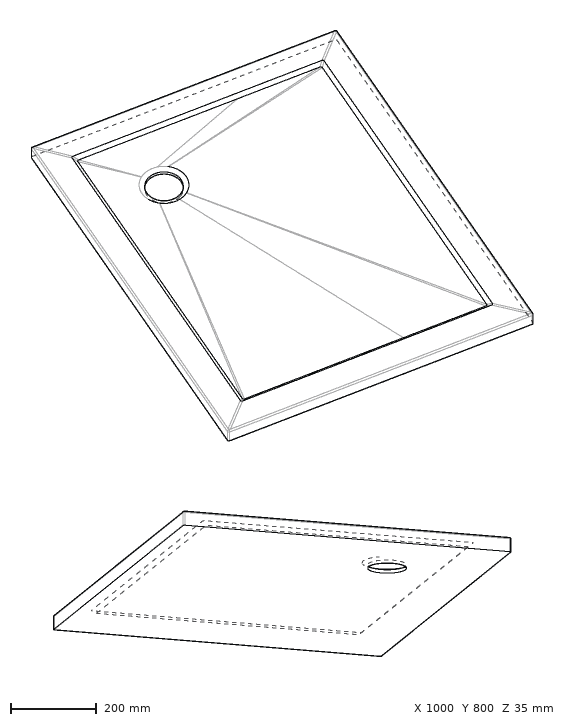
import cadquery as cq
import math

length = 1000.0
width = 800.0
height = 35.0
edge_radius = 4.0
corner_radius = 4.0

rim_width = 70.0
rim_drop = 1.0
step_width = 10.0
step_depth = 8.0
rim_inner_z = height - rim_drop
floor_edge_z = rim_inner_z - step_depth
floor_inset = rim_width + step_width

drain_x = 230.0
drain_y = 230.0
seat_radius = 58.0
hole_radius = 45.0
seat_top_z = 13.0
seat_bottom_z = 8.0

valley_seat_angle = math.radians(1)

panel_split_y = 500.0


def rounded_outline(inset, z):
    """Wire of an inset tray outline with small rounded corners."""
    outline = cq.Workplane("XY").rect(length - 2 * inset, width - 2 * inset).wires().val()
    rounded = outline.fillet2D(corner_radius, outline.Vertices())
    return rounded.translate(cq.Vector(length / 2, width / 2, z))


def sloped_recess(lower_inset, lower_z, upper_inset, upper_z):
    """Solid tapering between two rounded outlines at different heights."""
    wires = [rounded_outline(lower_inset, lower_z), rounded_outline(upper_inset, upper_z)]
    return cq.Solid.makeLoft(wires, True)


def seat_point(angle):
    return cq.Vector(
        drain_x + seat_radius * math.cos(angle),
        drain_y + seat_radius * math.sin(angle),
        seat_top_z,
    )


def seat_arc(start, end):
    return cq.Edge.makeThreePointArc(
        seat_point(start), seat_point((start + end) / 2), seat_point(end)
    )


def corner_arc(x, y, quadrant):
    """Rounded floor corner about (x, y), turning a quarter from quadrant * 90 degrees."""
    points = []
    for step in range(3):
        angle = (quadrant + step / 2) * math.pi / 2
        points.append(
            cq.Vector(
                x + corner_radius * math.cos(angle),
                y + corner_radius * math.sin(angle),
                floor_edge_z,
            )
        )
    return cq.Edge.makeThreePointArc(*points)


def floor_recess():
    """Recess whose ruled panels fall from the floor outline to the round drain seat."""
    near = floor_inset + corner_radius
    far_x = length - near
    far_y = width - near
    front_left = corner_arc(near, near, 2)
    front_right = corner_arc(far_x, near, 3)
    back_right = corner_arc(far_x, far_y, 0)
    back_left = corner_arc(near, far_y, 1)
    right_split = cq.Vector(length - floor_inset, panel_split_y, floor_edge_z)
    left_split = cq.Vector(floor_inset, panel_split_y, floor_edge_z)
    outline = [
        front_left,
        cq.Edge.makeLine(front_left.endPoint(), front_right.startPoint()),
        front_right,
        cq.Edge.makeLine(front_right.endPoint(), right_split),
        cq.Edge.makeLine(right_split, back_right.startPoint()),
        back_right,
        cq.Edge.makeLine(back_right.endPoint(), back_left.startPoint()),
        back_left,
        cq.Edge.makeLine(back_left.endPoint(), left_split),
        cq.Edge.makeLine(left_split, front_left.startPoint()),
    ]

    floor_width = width - 2 * floor_inset
    corner_angle = math.atan2(floor_width, length - 2 * floor_inset)
    split_fraction = (panel_split_y - floor_inset) / floor_width
    split_angle = corner_angle * (2 * split_fraction - 1)
    half_valley = valley_seat_angle / 2
    turn = 2 * math.pi
    angles = [
        math.pi + corner_angle - half_valley,
        math.pi + corner_angle + half_valley,
        turn - corner_angle - half_valley,
        turn - corner_angle + half_valley,
        turn + split_angle,
        turn + corner_angle - half_valley,
        turn + corner_angle + half_valley,
        turn + math.pi - corner_angle - half_valley,
        turn + math.pi - corner_angle + half_valley,
        turn + math.pi - split_angle,
        turn + math.pi + corner_angle - half_valley,
    ]

    seat_arcs = [seat_arc(start, end) for start, end in zip(angles, angles[1:])]
    panels = [cq.Face.makeRuledSurface(side, arc) for side, arc in zip(outline, seat_arcs)]
    top = cq.Face.makeFromWires(cq.Wire.assembleEdges(outline))
    bottom = cq.Face.makeFromWires(cq.Wire.assembleEdges(seat_arcs))
    return cq.Solid.makeSolid(cq.Shell.makeShell(panels + [top, bottom]))


def drain_opening():
    seat = cq.Solid.makeCone(
        hole_radius,
        seat_radius,
        seat_top_z - seat_bottom_z,
        pnt=cq.Vector(drain_x, drain_y, seat_bottom_z),
    )
    hole = cq.Solid.makeCylinder(hole_radius, height, pnt=cq.Vector(drain_x, drain_y, 0))
    return seat, hole


tray = cq.Workplane("XY").box(length, width, height, centered=False)
tray = tray.edges("|Z or >Z").fillet(edge_radius)

rim_recess = sloped_recess(rim_width, rim_inner_z, edge_radius, height)
step_recess = sloped_recess(floor_inset, floor_edge_z, rim_width, rim_inner_z)
seat, hole = drain_opening()
for recess in (rim_recess, step_recess, floor_recess(), seat, hole):
    tray = tray.cut(cq.Workplane(obj=recess))

result = tray